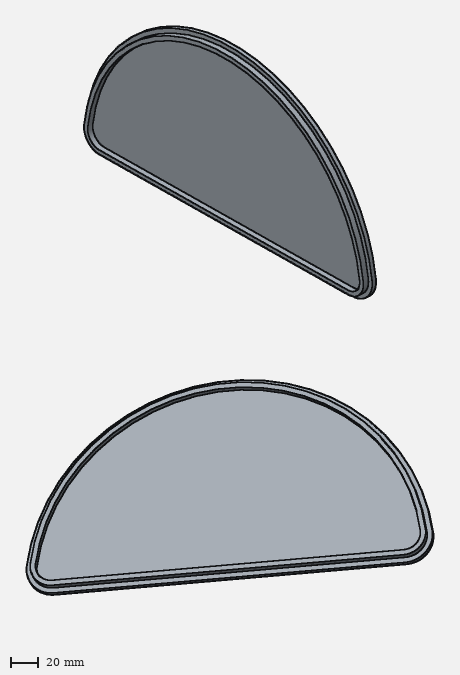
import cadquery as cq
import math

width = 298.0
height = 153.5
depth = 9.0
corner_radius = 20.0
flange_thickness = 4.0
flange_overhang = 4.0
rim_wall = 4.0
recess_depth = depth - flange_thickness

corner_x = width / 2 - corner_radius
crown_to_corner = height - corner_radius
arc_center_z = (crown_to_corner**2 - corner_x**2 - corner_radius**2) / (
    2 * (crown_to_corner - corner_radius)
)
arc_radius = height - arc_center_z
tangent_angle = math.atan2(corner_radius - arc_center_z, corner_x)


def d_prism(inset, front_y, length):
    """D-shaped prism, inset from the outer outline, running from front_y toward +Y."""
    big_radius = arc_radius - inset
    small_radius = corner_radius - inset
    tangent_x = big_radius * math.cos(tangent_angle)
    tangent_z = arc_center_z + big_radius * math.sin(tangent_angle)

    middle_angle = (tangent_angle - math.pi / 2) / 2
    middle_x = corner_x + small_radius * math.cos(middle_angle)
    middle_z = corner_radius + small_radius * math.sin(middle_angle)

    return (
        cq.Workplane("XZ", origin=(0, front_y, 0))
        .moveTo(-corner_x, inset)
        .lineTo(corner_x, inset)
        .threePointArc((middle_x, middle_z), (tangent_x, tangent_z))
        .threePointArc((0, height - inset), (-tangent_x, tangent_z))
        .threePointArc((-middle_x, middle_z), (-corner_x, inset))
        .close()
        .extrude(-length)
    )


body = d_prism(flange_overhang, 0, depth)
flange = d_prism(0, depth - flange_thickness, flange_thickness)

recess = d_prism(flange_overhang + rim_wall, 0, recess_depth)

result = body.union(flange).cut(recess)